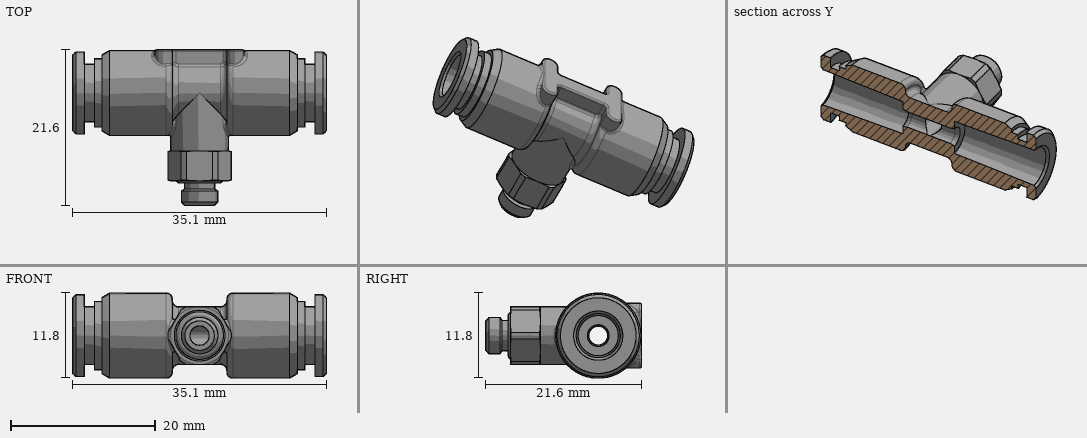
import cadquery as cq
import math


collar_end_x = 17.55
collar_inner_x = 15.95
flange_x = 14.55
barrel_outer_x = 13.5
barrel_inner_x = 3.75

collar_radius = 5.7
collar_chamfer = 0.45
neck_radius = 4.0
flange_radius = 4.75
barrel_radius = 5.9
barrel_chamfer_length = 1.1
barrel_chamfer_depth = 0.63
barrel_round = 0.88
waist_radius = 4.0
waist_fillet = 0.85

socket_lip_radius = 3.4
socket_lip_depth = 0.35
socket_radius = 3.05
socket_floor_radius = 2.77
socket_floor_x = 4.2
run_bore_mouth_radius = 1.5
run_bore_radius = 1.3
run_bore_taper = 0.7

pad_end_y = 6.0
lug_radius = 1.2
lug_arc_z = 3.3
web_half_height = 1.47
web_fillet = 0.5
pad_edge_round = 0.28
pad_blend = 0.5

margin = 0.05

branch_blend = 0.28
hex_start = 8.0
hex_end = 12.15
undercut_end = 13.3
thread_start = 13.6
thread_end = 15.1
stud_end = 15.6

hex_sides = 6
hex_across_flats = 2 * waist_radius
hex_corner_radius = 4.4
hex_chamfer_length = 0.1
undercut_radius = 2.1
thread_radius = 2.53
stud_tip_radius = 2.05
stud_bore_radius = 1.35

ring_section_radius = 0.6
ring_centre_radius = undercut_radius + ring_section_radius
recess_radius = 3.5
recess_depth = 0.88


def revolve_about_x(points):
    """Solid of revolution about X from (x, radius) points."""
    return cq.Workplane("XY").polyline(points).close().revolve(360, (0, 0, 0), (1, 0, 0))


def revolve_about_branch(points):
    """Solid of revolution about Y from (radius, distance toward -Y) points."""
    outline = [(radius, -distance) for radius, distance in points]
    return cq.Workplane("XY").polyline(outline).close().revolve(360, (0, 0, 0), (0, 1, 0))


def mirrored(shape):
    """The shape joined with its mirror image in the centre plane of the run."""
    return shape.union(shape.mirror("YZ"))


def make_run_end():
    """One outer half of the run: waist, barrel, flange, neck and collar."""
    waist_tangent_x = barrel_inner_x - waist_fillet
    quarter = math.sqrt(0.5)
    return (
        cq.Workplane("XY")
        .moveTo(0, 0)
        .lineTo(0, waist_radius)
        .lineTo(waist_tangent_x, waist_radius)
        .threePointArc(
            (waist_tangent_x + waist_fillet * quarter, waist_radius + waist_fillet * (1 - quarter)),
            (barrel_inner_x, waist_radius + waist_fillet),
        )
        .lineTo(barrel_inner_x, barrel_radius - barrel_round)
        .threePointArc(
            (
                barrel_inner_x + barrel_round * (1 - quarter),
                barrel_radius - barrel_round * (1 - quarter),
            ),
            (barrel_inner_x + barrel_round, barrel_radius),
        )
        .lineTo(barrel_outer_x - barrel_chamfer_length, barrel_radius)
        .lineTo(barrel_outer_x, barrel_radius - barrel_chamfer_depth)
        .lineTo(barrel_outer_x, flange_radius)
        .lineTo(flange_x, flange_radius)
        .lineTo(flange_x, neck_radius)
        .lineTo(collar_inner_x, neck_radius)
        .lineTo(collar_inner_x, collar_radius)
        .lineTo(collar_end_x - collar_chamfer, collar_radius)
        .lineTo(collar_end_x, collar_radius - collar_chamfer)
        .lineTo(collar_end_x, 0)
        .close()
        .revolve(360, (0, 0, 0), (1, 0, 0))
    )


def make_pad():
    """Two upright lugs joined by a web, extruded from the run axis to the +Y side."""
    lug_x = barrel_inner_x + lug_radius
    web = cq.Workplane("XZ").rect(2 * lug_x, 2 * web_half_height).extrude(-pad_end_y)
    lugs = (
        cq.Workplane("XZ")
        .pushPoints([(-lug_x, 0), (lug_x, 0)])
        .slot2D(2 * (lug_arc_z + lug_radius), 2 * lug_radius, 90)
        .extrude(-pad_end_y)
    )
    pad = web.union(lugs)
    inner_corners = cq.selectors.BoxSelector(
        (-barrel_inner_x - margin, -margin, -web_half_height - margin),
        (barrel_inner_x + margin, pad_end_y + margin, web_half_height + margin),
    )
    pad = pad.edges("|Y").edges(inner_corners).fillet(web_fillet)
    return pad.faces(">Y").edges().fillet(pad_edge_round)


def make_branch():
    """Half of the branch, blended into a barrel that has no fillet at the waist."""
    waist = cq.Workplane("YZ").circle(waist_radius).extrude(barrel_inner_x)
    barrel = (
        cq.Workplane("YZ", origin=(barrel_inner_x, 0, 0))
        .circle(barrel_radius)
        .extrude(waist_radius)
        .faces("<X")
        .edges()
        .fillet(barrel_round)
    )
    branch = (
        cq.Workplane("XZ")
        .moveTo(0, waist_radius)
        .threePointArc((waist_radius, 0), (0, -waist_radius))
        .close()
        .extrude(hex_start)
    )
    joint = cq.selectors.BoxSelector(
        (barrel_inner_x - margin, -barrel_radius, -waist_radius),
        (waist_radius + margin, -margin, waist_radius),
        boundingbox=True,
    )
    return waist.union(barrel).union(branch).edges(joint).edges("not %CIRCLE").fillet(branch_blend)


def make_hexagon():
    """Hexagon with flats facing +Z and -Z, its corners turned down and chamfered at both ends."""
    prism = (
        cq.Workplane("XZ", origin=(0, -hex_start, 0))
        .polygon(hex_sides, hex_across_flats, circumscribed=True)
        .extrude(hex_end - hex_start)
        .rotate((0, 0, 0), (0, 1, 0), 180 / hex_sides)
    )
    turned = revolve_about_branch([
        (0, hex_start),
        (waist_radius, hex_start),
        (hex_corner_radius, hex_start + hex_chamfer_length),
        (hex_corner_radius, hex_end - hex_chamfer_length),
        (waist_radius, hex_end),
        (0, hex_end),
    ])
    return prism.intersect(turned)


def make_stud():
    """Undercut and thread shank, starting at the floor of the ring recess."""
    return revolve_about_branch([
        (0, hex_end - recess_depth),
        (undercut_radius, hex_end - recess_depth),
        (undercut_radius, undercut_end),
        (thread_radius, thread_start),
        (thread_radius, thread_end),
        (stud_tip_radius, stud_end),
        (0, stud_end),
    ])


def make_run_bore():
    """Half of the passage along the run, with its tube socket."""
    return revolve_about_x([
        (0, 0),
        (0, run_bore_radius),
        (socket_floor_x - run_bore_taper, run_bore_radius),
        (socket_floor_x, run_bore_mouth_radius),
        (socket_floor_x, socket_floor_radius),
        (collar_end_x - socket_lip_depth, socket_radius),
        (collar_end_x, socket_lip_radius),
        (collar_end_x, 0),
    ])


def make_tee():
    """Solid run with its pad and branch blended on."""
    tee = mirrored(make_run_end()).union(make_pad())
    pad_joint = cq.selectors.BoxSelector(
        (-barrel_outer_x, margin, -barrel_radius),
        (barrel_outer_x, pad_end_y - pad_edge_round / 2, barrel_radius),
        boundingbox=True,
    )
    tee = tee.edges(pad_joint).fillet(pad_blend)
    return tee.union(mirrored(make_branch()))


def make_housing():
    """Tee, hexagon and stud in one piece, with the ring recess and all passages cut."""
    recess = cq.Workplane("XZ", origin=(0, -hex_end, 0)).circle(recess_radius).extrude(-recess_depth)
    stud_bore = cq.Workplane("XZ").circle(stud_bore_radius).extrude(stud_end)
    body = make_tee().union(make_hexagon()).cut(recess).union(make_stud())
    return body.cut(mirrored(make_run_bore())).cut(stud_bore)


def make_sealing_ring():
    """Round-section ring seated on the recess floor, hugging the undercut."""
    ring_y = -(hex_end - recess_depth + ring_section_radius)
    return (
        cq.Workplane("XY")
        .center(ring_centre_radius, ring_y)
        .circle(ring_section_radius)
        .revolve(360, (-ring_centre_radius, 0, 0), (-ring_centre_radius, 1, 0))
    )


housing = make_housing()
sealing_ring = make_sealing_ring()

result = cq.Compound.makeCompound([housing.val(), sealing_ring.val()])